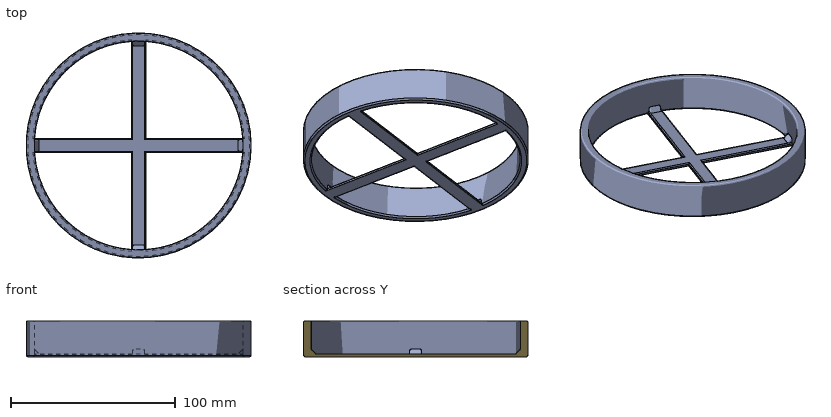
import cadquery as cq

outer_diameter = 136.5
inner_diameter = 126.5
ring_height = 22.0
ring_edge = 1.0

spoke_width = 8.7
spoke_thickness = 1.9
spoke_chamfer = 0.7

ramp_start_radius = 60.3
ramp_rounding = 1.0

outer_radius = outer_diameter / 2
inner_radius = inner_diameter / 2
ramp_width = spoke_width - 2 * spoke_chamfer
wall_mid_radius = (outer_radius + inner_radius) / 2


def make_ring():
    ring = cq.Workplane("XY").circle(outer_radius).circle(inner_radius).extrude(ring_height)
    ring = ring.faces(">Z").edges().fillet(ring_edge)
    return ring.faces("<Z").edges().chamfer(ring_edge)


def make_cross():
    """Two full-diameter bars with chamfered top edges."""
    length = 2 * wall_mid_radius
    base = (True, True, False)
    bar_x = cq.Workplane("XY").box(length, spoke_width, spoke_thickness, centered=base)
    bar_y = cq.Workplane("XY").box(spoke_width, length, spoke_thickness, centered=base)
    cross = bar_x.union(bar_y)
    return cross.faces(">Z").edges().chamfer(spoke_chamfer)


def make_ramp():
    """A 45 degree wedge on the +X spoke, with its two sloping edges rounded."""
    foot_depth = spoke_thickness / 2
    foot_radius = ramp_start_radius - foot_depth
    rise = wall_mid_radius - foot_radius
    ramp = (
        cq.Workplane("XZ", origin=(0, ramp_width / 2, spoke_thickness - foot_depth))
        .moveTo(foot_radius, 0)
        .lineTo(wall_mid_radius, 0)
        .lineTo(wall_mid_radius, rise)
        .close()
        .extrude(ramp_width)
    )
    return ramp.edges(cq.selectors.ParallelDirSelector(cq.Vector(1, 0, 1))).fillet(ramp_rounding)


result = make_ring().union(make_cross())
for quarter in range(4):
    result = result.union(make_ramp().rotate((0, 0, 0), (0, 0, 1), 90 * quarter))